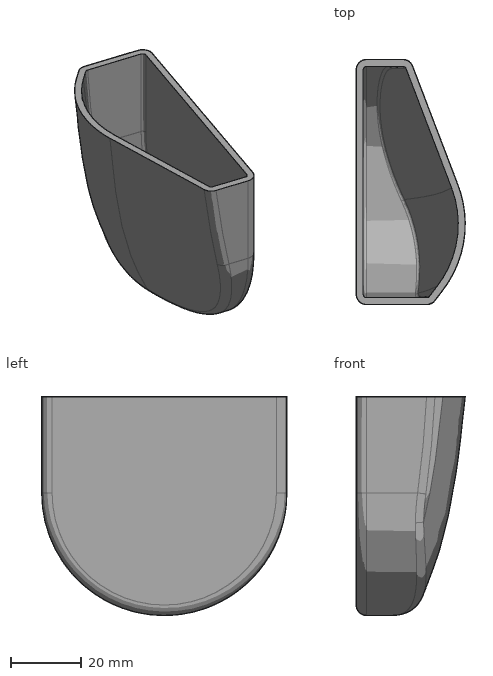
import cadquery as cq
import math

half_width = 35.0
straight_height = 27.5
depth = 31.15
wall = 2.0
edge_radius = 3.0

crest_y = -12.0
bulge_radius = 31.0
long_lean = math.radians(20.9)
short_lean = math.radians(37.5)

rim_slope = 0.105
path_mid = (7.55, 44.5)
path_end = (27.0, 84.0)
end_slope = 0.65
sideways_slope = 0.056

overrun = 30.0


def u_block():
    """Flat-backed block with straight sides and a round bottom."""
    return (
        cq.Workplane("YZ")
        .moveTo(-half_width, straight_height)
        .lineTo(-half_width, 0)
        .threePointArc((0, -half_width), (half_width, 0))
        .lineTo(half_width, straight_height)
        .close()
        .extrude(depth + overrun)
    )


def bulge_point(angle):
    """Point on the rim bulge whose outward normal makes this angle with +X."""
    x = depth - bulge_radius + bulge_radius * math.cos(angle)
    y = crest_y + bulge_radius * math.sin(angle)
    return x, y


def front_outline():
    """Area behind the front wall at rim height, reaching past the block on its other sides."""
    far_y = half_width + overrun
    long_start = bulge_point(long_lean)
    long_end = (long_start[0] - (far_y - long_start[1]) * math.tan(long_lean), far_y)
    short_start = bulge_point(-short_lean)
    short_end = (short_start[0] - (far_y + short_start[1]) * math.tan(short_lean), -far_y)
    return (
        cq.Workplane("XY", origin=(0, 0, straight_height))
        .moveTo(-overrun, -far_y)
        .lineTo(*short_end)
        .lineTo(*short_start)
        .threePointArc((depth, crest_y), long_start)
        .lineTo(*long_end)
        .lineTo(-overrun, far_y)
        .close()
    )


def path_vector(run, drop):
    """Step along the front wall: back by run, down by drop and sideways with the drop."""
    return cq.Vector(-run, -sideways_slope * drop, -drop)


def front_path():
    """Smooth curve down the front wall, starting at the crest of the rim."""
    start = cq.Vector(depth, crest_y, straight_height)
    points = [start, start + path_vector(*path_mid), start + path_vector(*path_end)]
    tangents = [path_vector(rim_slope, 1), path_vector(end_slope, 1)]
    edge = cq.Edge.makeSpline(points, tangents)
    return cq.Workplane().add(cq.Wire.assembleEdges([edge]))


def solid_body():
    """Block trimmed by the front wall, with every edge rounded except the rim."""
    front = front_outline().sweep(front_path())
    body = u_block().intersect(front)
    body = body.faces("<X").edges("not(>Z)").fillet(edge_radius)
    return body.faces("not(<X or >Z)").edges("not(>Z or <X)").fillet(edge_radius)


result = solid_body().faces(">Z").shell(-wall)